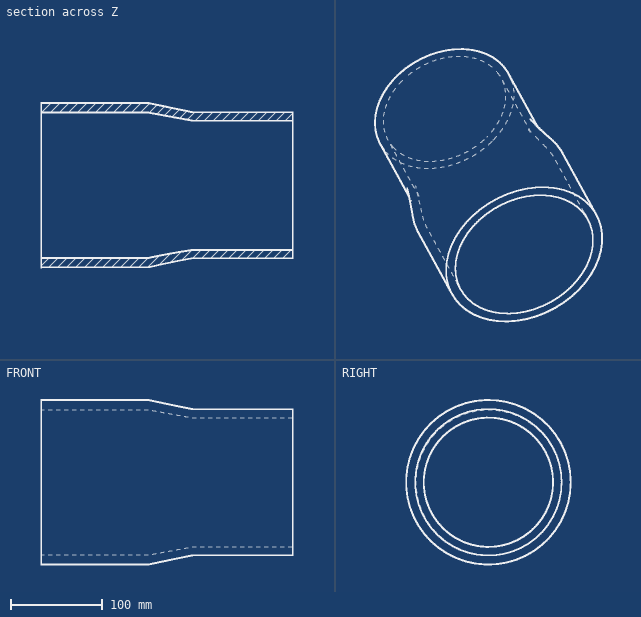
import cadquery as cq

total_length = 275.0
large_length = 117.2
small_length = 109.7
large_outer_diameter = 180.0
large_bore_diameter = 158.7
small_outer_diameter = 160.0
small_bore_diameter = 141.0

cone_start = large_length
cone_end = total_length - small_length


def reducer_body(large_diameter, small_diameter):
    """Solid of two coaxial cylinders joined by a straight cone."""
    large_radius = large_diameter / 2
    small_radius = small_diameter / 2
    half_profile = [
        (0, 0),
        (0, large_radius),
        (cone_start, large_radius),
        (cone_end, small_radius),
        (total_length, small_radius),
        (total_length, 0),
    ]
    return cq.Workplane("XY").polyline(half_profile).close().revolve(360, (0, 0, 0), (1, 0, 0))


outside = reducer_body(large_outer_diameter, small_outer_diameter)
bore = reducer_body(large_bore_diameter, small_bore_diameter)
result = outside.cut(bore)